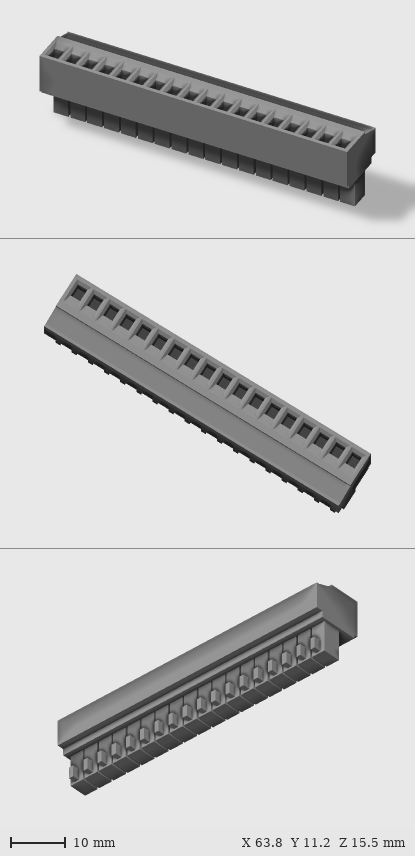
import cadquery as cq


LENGTH = 63.8
WIDTH = 11.15
HEIGHT = 15.5

POLE_COUNT = 18
POLE_WIDTH = 3.05
LEFT_MARGIN = 0.6
RIGHT_MARGIN = 0.7
PITCH = (LENGTH - LEFT_MARGIN - RIGHT_MARGIN - POLE_WIDTH) / (POLE_COUNT - 1)

FRONT_STEP_DEPTH = 8.05
FRONT_STEP_WIDTH = 0.75
HOUSING_DEPTH = 8.8
BACK_STEP_DEPTH = 7.4
BACK_STEP_WIDTH = 1.5
RIDGE_WIDTH = 7.1
RIDGE_STEP = 0.6
BACK_RIM_WIDTH = 0.6
BACK_RIM_DROP = 1.7

FINGER_FRONT = 4.4
FINGER_THICKNESS = 4.0
LATCH_WIDTH = 1.0
LATCH_REACH = 1.5
LATCH_HEIGHT = 2.5
LATCH_BOTTOM_GAP = 0.4

FUNNEL_FRONT = 0.75
FUNNEL_LENGTH = 5.0
FUNNEL_DEPTH = 0.5
FUNNEL_SIDE_INSET = 0.5
FUNNEL_FRONT_INSET = 0.65
SHAFT_LENGTH = 2.5
SHAFT_DEPTH = 3.8

LEFT = -LENGTH / 2
FRONT = -WIDTH / 2
BACK = WIDTH / 2
TOP = HEIGHT / 2
BOTTOM = -HEIGHT / 2
HOUSING_BOTTOM = TOP - HOUSING_DEPTH


def box_from(x, y, z, dx, dy, dz):
    """Box with its lowest corner at (x, y, z)."""
    return cq.Workplane("XY").box(dx, dy, dz, centered=False).translate((x, y, z))


def make_housing():
    """Stepped profile in the YZ plane, extruded along the full length."""
    front_step_y = FRONT + FRONT_STEP_WIDTH
    front_step_z = TOP - FRONT_STEP_DEPTH
    back_step_y = BACK - BACK_STEP_WIDTH
    back_step_z = TOP - BACK_STEP_DEPTH
    ridge_y = FRONT + RIDGE_WIDTH
    rim_z = TOP - BACK_RIM_DROP
    outline = [
        (FRONT, TOP),
        (FRONT, front_step_z),
        (front_step_y, front_step_z),
        (front_step_y, HOUSING_BOTTOM),
        (back_step_y, HOUSING_BOTTOM),
        (back_step_y, back_step_z),
        (BACK, back_step_z),
        (BACK, rim_z),
        (BACK - BACK_RIM_WIDTH, rim_z),
        (ridge_y, TOP - RIDGE_STEP),
        (ridge_y, TOP),
    ]
    profile = cq.Workplane("YZ").workplane(offset=LEFT).polyline(outline).close()
    return profile.extrude(LENGTH)


def make_finger(pole_x):
    """Plug finger under one pole, with a latch on its back face."""
    finger_y = FRONT + FINGER_FRONT
    finger_height = HOUSING_BOTTOM - BOTTOM
    finger = box_from(pole_x, finger_y, BOTTOM, POLE_WIDTH, FINGER_THICKNESS, finger_height)
    latch_x = pole_x + (POLE_WIDTH - LATCH_WIDTH) / 2
    latch_y = finger_y + FINGER_THICKNESS
    latch_z = BOTTOM + LATCH_BOTTOM_GAP
    latch = box_from(latch_x, latch_y, latch_z, LATCH_WIDTH, LATCH_REACH, LATCH_HEIGHT)
    return finger.union(latch)


def make_wire_entry(pole_x):
    """Volume removed for one wire entry: funnel at the top, shaft below it."""
    mouth_y = FRONT + FUNNEL_FRONT
    shaft_x = pole_x + FUNNEL_SIDE_INSET
    shaft_y = mouth_y + FUNNEL_FRONT_INSET
    shaft_width = POLE_WIDTH - 2 * FUNNEL_SIDE_INSET
    centre_x = pole_x + POLE_WIDTH / 2
    mouth_centre_y = mouth_y + FUNNEL_LENGTH / 2
    shaft_centre_y = shaft_y + SHAFT_LENGTH / 2
    funnel = (
        cq.Workplane("XY")
        .workplane(offset=TOP)
        .center(centre_x, mouth_centre_y)
        .rect(POLE_WIDTH, FUNNEL_LENGTH)
        .workplane(offset=-FUNNEL_DEPTH)
        .center(0, shaft_centre_y - mouth_centre_y)
        .rect(shaft_width, SHAFT_LENGTH)
        .loft(ruled=True)
    )
    shaft_height = SHAFT_DEPTH - FUNNEL_DEPTH
    shaft = box_from(shaft_x, shaft_y, TOP - SHAFT_DEPTH, shaft_width, SHAFT_LENGTH, shaft_height)
    return funnel.union(shaft)


result = make_housing()
for pole in range(POLE_COUNT):
    pole_left = LEFT + LEFT_MARGIN + pole * PITCH
    result = result.union(make_finger(pole_left))
    result = result.cut(make_wire_entry(pole_left))